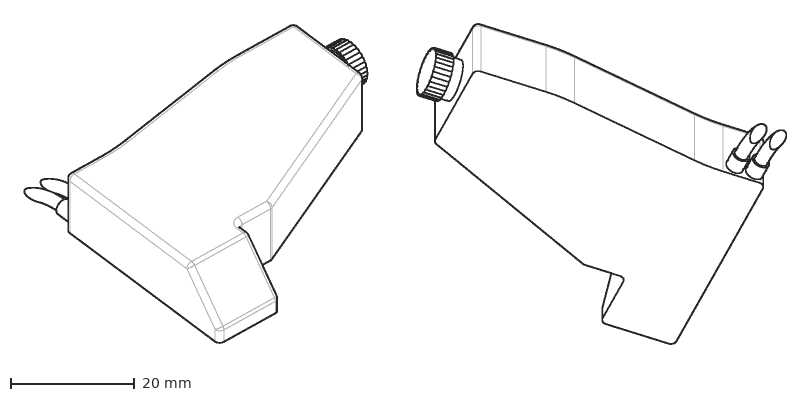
import cadquery as cq
import math

height = 12.0
length = 53.05
foot_right = 38.1
foot_length = 13.0
shoulder_x = 27.5
back_right = 12.2
taper_angle = 25.0
jog_angle = 10.0
jog_start = 10.05
jog_end = 38.0
jog_radius = 30.0
edge_radius = 1.0

nose_height = 3.0
slope_angle = 40.0

knob_x = 3.5
knob_z = height / 2
neck_diameter = 7.0
neck_length = 1.9
knob_diameter = 8.2
knob_length = 3.1
knob_reach = 5.45
dome_diameter = 7.6
ridge_count = 28
ridge_depth = 0.25

cable_z = 2.05
first_cable_y = 1.95
cable_spacing = 3.45
sleeve_diameter = 3.0
sleeve_length = 2.8
cable_diameter = 2.3
cable_bend_radius = 13.85
cable_sweep = 60.0
cable_count = 2


def make_housing():
    jog = (jog_end - jog_start) * math.tan(math.radians(jog_angle))
    shoulder_y = length - (shoulder_x - back_right) / math.tan(math.radians(taper_angle))
    body = (
        cq.Workplane("XY")
        .polyline([
            (0, 0),
            (foot_right, 0),
            (foot_right, foot_length),
            (shoulder_x, foot_length),
            (shoulder_x, shoulder_y),
            (back_right, length),
            (-jog, length),
            (-jog, jog_end),
            (0, jog_start),
        ])
        .close()
        .extrude(height)
    )
    for bend in ((0, jog_start), (-jog, jog_end)):
        nearest = cq.selectors.NearestToPointSelector((*bend, height / 2))
        body = body.edges(nearest).fillet(jog_radius)

    slope_run = (height - nose_height) * math.tan(math.radians(slope_angle))
    wedge = (
        cq.Workplane("XZ")
        .polyline([
            (foot_right, nose_height),
            (foot_right, height),
            (foot_right - slope_run, height),
        ])
        .close()
        .extrude(-foot_length)
    )
    body = body.cut(wedge)

    bend_reach = jog_radius * math.tan(math.radians(jog_angle / 2))
    bends = cq.selectors.BoxSelector(
        (-jog - edge_radius, jog_start - bend_reach - edge_radius, edge_radius),
        (edge_radius, jog_end + bend_reach + edge_radius, height - edge_radius),
    )
    sharp = body.edges("not <Z").edges(cq.selectors.InverseSelector(bends))
    return sharp.fillet(edge_radius)


def make_grip(plane):
    """Disc whose rim is a ring of rounded ridges, one of them centred on the plane's X axis."""
    tip_radius = knob_diameter / 2
    crease_radius = tip_radius - ridge_depth
    pitch = 2 * math.pi / ridge_count

    def rim_point(radius, steps):
        return (radius * math.cos(steps * pitch), radius * math.sin(steps * pitch))

    rim = plane.moveTo(*rim_point(crease_radius, -0.5))
    for ridge in range(ridge_count):
        rim = rim.threePointArc(rim_point(tip_radius, ridge), rim_point(crease_radius, ridge + 0.5))
    return rim.close().extrude(-knob_length)


def make_knob():
    """Neck, ridged grip and domed end, built along +Y from the back wall."""
    base = cq.Workplane("XZ", origin=(knob_x, length, knob_z))
    neck = (
        base.workplane(offset=edge_radius)
        .circle(neck_diameter / 2)
        .extrude(-neck_length - edge_radius)
    )
    grip = make_grip(base.workplane(offset=-neck_length))
    dome_base = neck_length + knob_length
    dome_height = knob_reach - dome_base
    dome_radius = dome_diameter / 2
    sphere_radius = (dome_radius**2 + dome_height**2) / (2 * dome_height)
    half_way = dome_radius / 2
    sphere_centre = knob_reach - sphere_radius
    arc_middle = (half_way, sphere_centre + math.sqrt(sphere_radius**2 - half_way**2))
    dome = (
        cq.Workplane("XY", origin=(knob_x, length, knob_z))
        .moveTo(0, dome_base)
        .lineTo(dome_radius, dome_base)
        .threePointArc(arc_middle, (0, knob_reach))
        .close()
        .revolve(360, (0, 0), (0, 1))
    )
    return neck.union(grip).union(dome)


def make_cable(y):
    """Sleeve and a cable that bends down and is cut off at the base plane."""
    sleeve = (
        cq.Workplane("YZ", origin=(edge_radius, y, cable_z))
        .circle(sleeve_diameter / 2)
        .extrude(-sleeve_length - edge_radius)
    )
    cable = (
        cq.Workplane("YZ", origin=(-sleeve_length, y, cable_z))
        .circle(cable_diameter / 2)
        .revolve(cable_sweep, (0, -cable_bend_radius), (-1, -cable_bend_radius))
    )
    below_base = cq.Workplane("XY", origin=(0, y, 0)).rect(length, length).extrude(-length)
    return sleeve.union(cable.cut(below_base))


result = make_housing().union(make_knob())
for index in range(cable_count):
    result = result.union(make_cable(first_cable_y + index * cable_spacing))